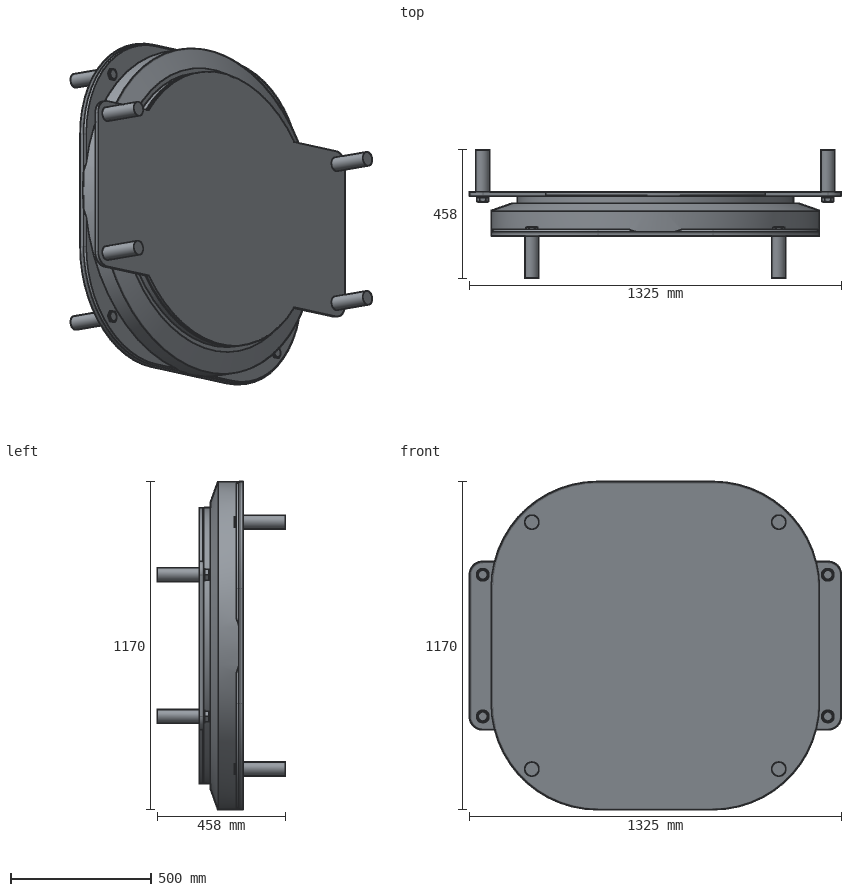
import cadquery as cq
import math


plate_side = 1170.0
plate_corner_radius = 380.0
plate_thickness = 16.0
edge_rounding = 4.0
pad_thickness = 9.0
pad_slope_run = 4.0

drum_diameter = plate_side
drum_back = 91.0
drum_rounding = 3.0
cone_small_diameter = 1020.0
cone_back = 118.0
neck_diameter = 986.0

bracket_width = 1325.0
bracket_height = 600.0
bracket_corner_radius = 48.0
bracket_front = 142.0
bracket_thickness = 16.0
bracket_back = bracket_front + bracket_thickness

stud_diameter = 50.0
stud_length = 150.0
front_stud_offset = 440.0
bracket_stud_inset = 48.0
washer_diameter = 44.0
washer_thickness = 4.0
head_corner_diameter = 44.0
head_top_diameter = 33.0
head_height = 16.0
head_chamfer_height = 3.0
front_washer_sink = 3.0


def plane_at(y):
    """Workplane facing -Y, with its local axes along X and Z."""
    return cq.Workplane("XZ", origin=(0, y, 0))


def disc(diameter, y_start, y_end):
    return plane_at(y_start).circle(diameter / 2).extrude(y_start - y_end)


def rounded_slab(width, height, corner_radius, y_start, y_end):
    slab = plane_at(y_start).rect(width, height).extrude(y_start - y_end)
    return slab.edges("|Y").fillet(corner_radius)


def make_front_plate():
    plate = rounded_slab(plate_side, plate_side, plate_corner_radius, 0, plate_thickness)
    plate = plate.faces("<Y or >Y").edges().fillet(edge_rounding)
    pad_side = plate_side - 2 * edge_rounding
    pad_corner_radius = plate_corner_radius - edge_rounding
    pad_slope = math.degrees(math.atan2(pad_slope_run, pad_thickness))
    pad_outline = cq.Sketch().rect(pad_side, pad_side).vertices().fillet(pad_corner_radius)
    pad = plane_at(plate_thickness).placeSketch(pad_outline).extrude(-pad_thickness, taper=pad_slope)
    return plate.union(pad)


def make_round_body():
    profile = [
        (0, plate_thickness),
        (drum_diameter / 2, plate_thickness),
        (drum_diameter / 2, drum_back),
        (cone_small_diameter / 2, cone_back),
        (neck_diameter / 2, cone_back),
        (neck_diameter / 2, bracket_front),
        (0, bracket_front),
    ]
    body = cq.Workplane("XY").polyline(profile).close().revolve(360, (0, 0), (0, 1))
    return body.edges("%CIRCLE").edges(">>Y[-3]").fillet(drum_rounding)


def make_bracket():
    bracket = rounded_slab(
        bracket_width, bracket_height, bracket_corner_radius, bracket_front, bracket_back
    )
    bracket = bracket.union(disc(neck_diameter, bracket_front, bracket_back))
    return bracket.faces("<Y").edges().fillet(edge_rounding)


def make_bolt_head():
    """Washer and chamfered hexagon head, seated at Y = 0 and rising toward -Y."""
    head_bottom = -washer_thickness
    head_top = head_bottom - head_height
    washer = disc(washer_diameter, 0, head_bottom)
    hexagon = plane_at(head_bottom).polygon(6, head_corner_diameter).extrude(head_height)
    trim_profile = [
        (0, head_bottom),
        (head_corner_diameter / 2, head_bottom),
        (head_corner_diameter / 2, head_top + head_chamfer_height),
        (head_top_diameter / 2, head_top),
        (0, head_top),
    ]
    trim = cq.Workplane("XY").polyline(trim_profile).close().revolve(360, (0, 0), (0, 1))
    return washer.union(hexagon.intersect(trim))


def four_corners(x_offset, z_offset):
    return [(x, z) for x in (-x_offset, x_offset) for z in (-z_offset, z_offset)]


result = make_front_plate().union(make_round_body()).union(make_bracket())

bolt_head = make_bolt_head()

front_stud = disc(stud_diameter, -stud_length, 0)
front_head = bolt_head.mirror("XZ").translate((0, plate_thickness - front_washer_sink, 0))
for x, z in four_corners(front_stud_offset, front_stud_offset):
    result = result.union(front_stud.translate((x, 0, z)))
    result = result.union(front_head.translate((x, 0, z)))

bracket_stud = disc(stud_diameter, bracket_back, bracket_back + stud_length)
bracket_head = bolt_head.translate((0, bracket_front, 0))
bracket_stud_x = bracket_width / 2 - bracket_stud_inset
bracket_stud_z = bracket_height / 2 - bracket_stud_inset
for x, z in four_corners(bracket_stud_x, bracket_stud_z):
    result = result.union(bracket_stud.translate((x, 0, z)))
    result = result.union(bracket_head.translate((x, 0, z)))